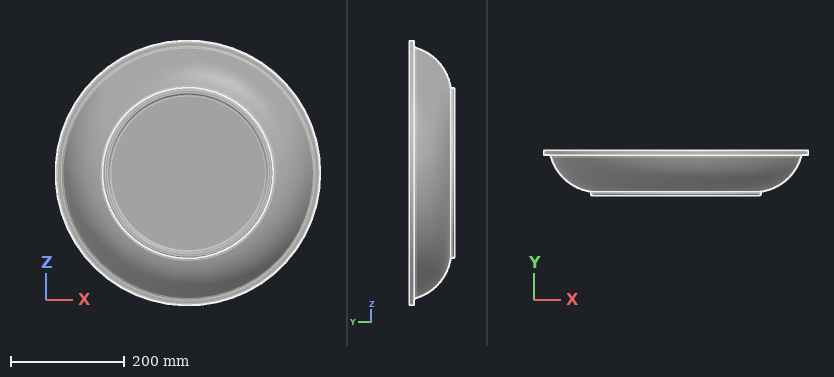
import cadquery as cq
import math

rim_radius = 232.5
total_depth = 80.0

rim_thickness = 9.0
rim_edge_fillet = 3.0

neck_fillet = 3.0
bowl_top_radius = 220.0
bowl_top_depth = rim_thickness + neck_fillet

bowl_middle_radius = 195.0
bowl_middle_depth = 51.5
bowl_bottom_radius = 153.0
bowl_bottom_depth = 72.5

foot_radius = 149.5
foot_fillet = 4.0
foot_flat_width = 4.0
floor_fillet = 1.5
floor_depth = total_depth - foot_fillet - floor_fillet

foot_flat_outer = foot_radius - foot_fillet
foot_flat_inner = foot_flat_outer - foot_flat_width
foot_inner_radius = foot_flat_inner - foot_fillet
floor_radius = foot_inner_radius - floor_fillet

diagonal = math.sqrt(0.5)


def quarter_arc(sketch, center, start_direction, end_direction, radius):
    """Add a quarter circle running between two perpendicular directions."""
    (x, y) = center
    (sx, sy) = start_direction
    (ex, ey) = end_direction
    middle = (x + radius * diagonal * (sx + ex), y + radius * diagonal * (sy + ey))
    end = (x + radius * ex, y + radius * ey)
    return sketch.threePointArc(middle, end)


outward, inward, front, back = (1, 0), (-1, 0), (0, -1), (0, 1)

profile = cq.Workplane("XY").lineTo(rim_radius - rim_edge_fillet, 0)
rim_edge_center = rim_radius - rim_edge_fillet
profile = quarter_arc(profile, (rim_edge_center, -rim_edge_fillet), back, outward, rim_edge_fillet)
profile = profile.lineTo(rim_radius, rim_edge_fillet - rim_thickness)
profile = quarter_arc(
    profile, (rim_edge_center, rim_edge_fillet - rim_thickness), outward, front, rim_edge_fillet
)
profile = profile.lineTo(bowl_top_radius + neck_fillet, -rim_thickness)
profile = quarter_arc(
    profile, (bowl_top_radius + neck_fillet, -bowl_top_depth), back, inward, neck_fillet
)
profile = profile.threePointArc(
    (bowl_middle_radius, -bowl_middle_depth), (bowl_bottom_radius, -bowl_bottom_depth)
)
profile = profile.lineTo(foot_radius, -bowl_bottom_depth)
profile = profile.lineTo(foot_radius, foot_fillet - total_depth)
profile = quarter_arc(
    profile, (foot_flat_outer, foot_fillet - total_depth), outward, front, foot_fillet
)
profile = profile.lineTo(foot_flat_inner, -total_depth)
profile = quarter_arc(
    profile, (foot_flat_inner, foot_fillet - total_depth), front, inward, foot_fillet
)
profile = quarter_arc(profile, (floor_radius, foot_fillet - total_depth), outward, back, floor_fillet)
profile = profile.lineTo(0, -floor_depth).close()

result = profile.revolve(360, (0, 0, 0), (0, 1, 0))